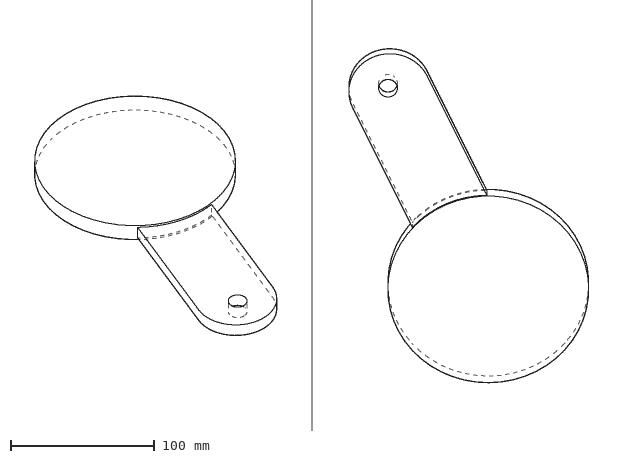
import cadquery as cq

total_length = 260.5
disc_diameter = 139.7
disc_thickness = 12.8

handle_width = 57.0
handle_thickness = 9.6
hole_diameter = 13.0
hole_to_tip = 25.5

disc_radius = disc_diameter / 2
handle_end_radius = handle_width / 2
handle_tip_x = total_length - disc_radius
handle_arc_x = handle_tip_x - handle_end_radius
hole_x = handle_tip_x - hole_to_tip


def make_disc():
    """Round plate, centred in thickness on the XY plane."""
    return cq.Workplane("XY").circle(disc_radius).extrude(disc_thickness / 2, both=True)


def make_handle():
    """Flat handle with a round end and a hanging hole, starting at the disc centre."""
    outline = (
        cq.Workplane("XY")
        .moveTo(0, -handle_end_radius)
        .lineTo(handle_arc_x, -handle_end_radius)
        .threePointArc((handle_tip_x, 0), (handle_arc_x, handle_end_radius))
        .lineTo(0, handle_end_radius)
        .close()
    )
    handle = outline.extrude(handle_thickness / 2, both=True)
    hole = (
        cq.Workplane("XY")
        .center(hole_x, 0)
        .circle(hole_diameter / 2)
        .extrude(handle_thickness, both=True)
    )
    return handle.cut(hole)


result = make_disc().union(make_handle())